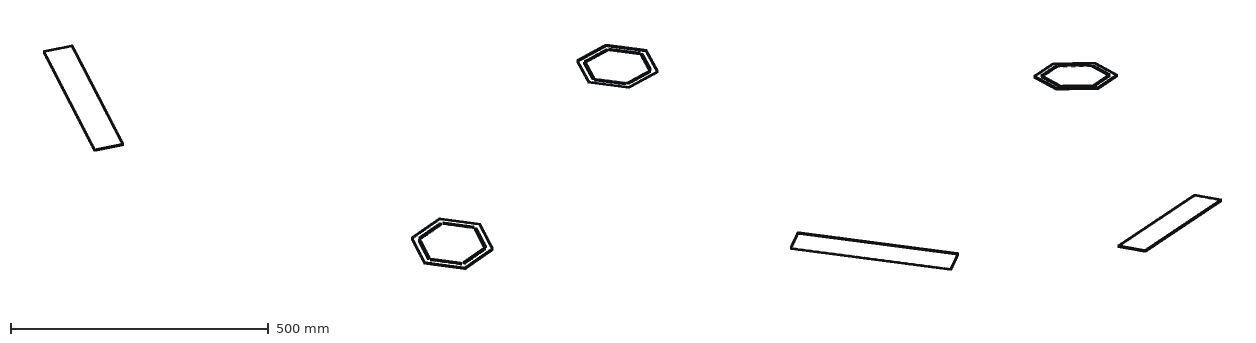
import cadquery as cq
import math

overall_length = 890.0
overall_depth = 641.0
plate_thickness = 2.5

strip_length = 320.0
strip_width = 58.0

hexagon_sides = 6
hexagon_diameter = 160.0
hexagon_apothem = hexagon_diameter / 2 * math.cos(math.pi / hexagon_sides)
hexagon_center_x = overall_length - hexagon_diameter / 2
hexagon_center_y = overall_depth - hexagon_apothem

slot_length = 60.0
slot_width = 3.0
slot_edge_margin = 11.0
slot_center_radius = hexagon_apothem - slot_edge_margin - slot_width / 2


def make_strip():
    """Plain flat strip with its lower left corner at the origin."""
    return cq.Workplane("XY").box(strip_length, strip_width, plate_thickness, centered=False)


def make_slot_cutter(index):
    """Cutter for the slot parallel to one side of the hexagon."""
    side_angle = 360 / hexagon_sides
    return (
        cq.Workplane("XY")
        .center(0, slot_center_radius)
        .rect(slot_length, slot_width)
        .extrude(plate_thickness)
        .rotate((0, 0, 0), (0, 0, 1), index * side_angle)
    )


def make_hexagon_plate():
    """Hexagonal plate with a ring of straight slots."""
    plate = cq.Workplane("XY").polygon(hexagon_sides, hexagon_diameter).extrude(plate_thickness)
    for index in range(hexagon_sides):
        plate = plate.cut(make_slot_cutter(index))
    return plate.translate((hexagon_center_x, hexagon_center_y, 0))


strip = make_strip()
hexagon_plate = make_hexagon_plate()

result = cq.Compound.makeCompound([strip.val(), hexagon_plate.val()])